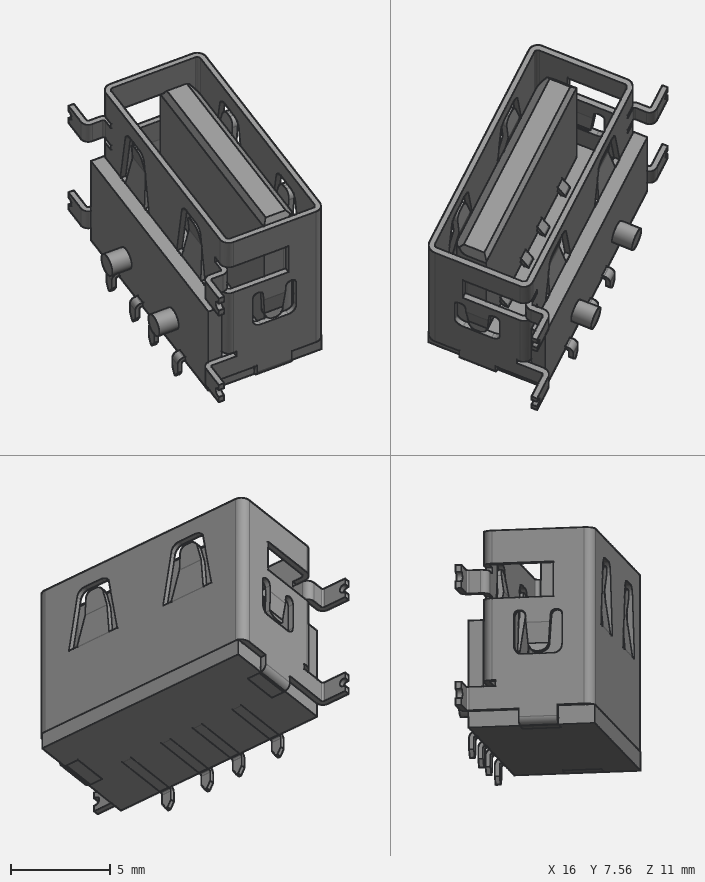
import cadquery as cq


sheet = 0.31
shell_width = 13.12
shell_back_y = 6.46
shell_front_y = 0.76
shell_top_z = 10.0
shell_corner = 0.50
bend_inner = 0.10
bend_mid = bend_inner + sheet / 2
bend_outer = bend_inner + sheet
half_width = shell_width / 2
shell_depth = shell_back_y - shell_front_y
shell_mid_y = (shell_back_y + shell_front_y) / 2

back_wall_bottom_z = 0.96
front_wall_bottom_z = 2.33

tab_y = (2.62, 4.60)
tab_reach = 1.0

foot_tip_x = 8.0
foot_underside_y = -0.345
foot_height = 1.19
foot_gap = 0.30
lower_foot_z = 1.42
side_wall_bottom_z = lower_foot_z - foot_height / 2
upper_foot_z = 7.41
foot_notch_radius = 0.24
foot_notch_depth = 0.33
lower_slot_end_y = 1.44
upper_slot_end_x = 5.53
window_end_y = 4.41

spring_xs = (-3.0, 3.0)
spring_root_z = 5.40
spring_bend_z = 7.44
spring_tip_z = 8.66
spring_root_half = 1.02
spring_tip_half = 0.49
spring_tip_round = 0.44
spring_bend_depth = 0.25
spring_tip_depth = 0.05
spring_slot_root_half = 1.54
spring_slot_top_half = 0.94
spring_slot_top_z = 9.0
spring_slot_round = 0.50

side_spring_y = 3.61
side_spring_root_z = 5.235
side_spring_bend_z = 4.165
side_spring_tip_z = 3.75
side_spring_neck_half = 0.67
side_spring_tip_half = 0.49
side_spring_tip_round = 0.45
side_spring_bend_depth = 0.11
side_spring_tip_depth = 0.0
side_slot_half = 1.236
side_slot_top_z = 5.86
side_slot_bottom_z = 3.61
side_slot_round = 0.45
side_lobe_round = 0.28

body_width = shell_width - 2 * sheet
base_top_z = 2.0
front_plate_top_z = 5.49
peg_xs = (-2.5, 2.5)
peg_z = 1.90
peg_radius = 0.59
peg_length = 1.10
tongue_width = 11.1
tongue_front_y = 3.575
tongue_back_y = 5.47
tongue_top_z = 9.47
tongue_corner = 0.82
tongue_side_chamfer = 0.30
tongue_side_chamfer_height = 0.45
tongue_front_chamfer = 0.23
tongue_front_chamfer_height = 0.36
tongue_back_chamfer = 0.53
tongue_back_chamfer_height = 0.60

contact_xs = (-3.5, -1.0, 1.0, 3.5)
contact_width = 0.58
contact_sheet = 0.25
contact_bend_mid = 0.10 + contact_sheet / 2
contact_run_top_z = 0.30
contact_tail_face_y = -0.44
contact_tip_z = -1.0
contact_taper_z = -0.62
contact_tip_half = 0.07
contact_rise_front_y = 3.14
contact_slant_top_z = 2.75
contact_slant_shift = 0.55


def box(xs, ys, zs):
    """Axis-aligned box between pairs of limits."""
    size = (xs[1] - xs[0], ys[1] - ys[0], zs[1] - zs[0])
    return cq.Workplane("XY").box(*size, centered=False).translate((xs[0], ys[0], zs[0]))


def mirrored(solid):
    """The solid together with its mirror image across x = 0."""
    return solid.union(solid.mirror("YZ"))


def bent_strip(points, thickness, width, radius, across):
    """Constant-thickness strip along a polyline with bends; `across` is its width direction."""
    path = cq.Wire.makePolygon([cq.Vector(*p) for p in points]).fillet(radius)
    start = cq.Vector(*points[0])
    direction = cq.Vector(*points[1]) - start
    plane = cq.Plane(origin=start.toTuple(), xDir=across, normal=direction.toTuple())
    return cq.Workplane(plane).rect(width, thickness).sweep(cq.Workplane(path))


def shell_tube():
    """Rectangular tube with its walls trimmed to different lengths at the rear."""
    outer = cq.Workplane("XY").rect(shell_width, shell_depth).extrude(shell_top_z)
    outer = outer.edges("|Z").fillet(shell_corner)
    inner = cq.Workplane("XY").rect(shell_width - 2 * sheet, shell_depth - 2 * sheet).extrude(shell_top_z)
    inner = inner.edges("|Z").fillet(shell_corner - sheet)
    tube = outer.cut(inner).translate((0, shell_mid_y, 0))
    full_x = (-half_width, half_width)
    tube = tube.cut(box(full_x, (0, shell_back_y), (0, bend_outer)))
    tube = tube.cut(box(full_x, (tab_y[1], shell_back_y), (0, back_wall_bottom_z)))
    tube = tube.cut(box(full_x, (0, tab_y[0]), (0, side_wall_bottom_z)))
    return tube.cut(box(full_x, (0, lower_slot_end_y), (0, front_wall_bottom_z)))


def folded_tab():
    """Tongue of the +X wall folded under the insulator."""
    wall_x = half_width - sheet / 2
    mid_y = (tab_y[0] + tab_y[1]) / 2
    points = [
        (wall_x, mid_y, back_wall_bottom_z),
        (wall_x, mid_y, sheet / 2),
        (wall_x - tab_reach, mid_y, sheet / 2),
    ]
    return bent_strip(points, sheet, tab_y[1] - tab_y[0], bend_mid, (0, 1, 0))


def foot_notch(foot_z):
    """Round-ended notch in the tip of a foot."""
    slot = cq.Workplane("XZ").center(foot_tip_x, foot_z).slot2D(2 * foot_notch_depth, 2 * foot_notch_radius)
    return slot.extrude(sheet - foot_underside_y)


def foot(start_points, foot_z):
    """Solder foot: start of the strip, then a leg toward the board and an outward plate."""
    leg_x = half_width - sheet / 2
    plate_y = foot_underside_y + sheet / 2
    points = start_points + [(leg_x, plate_y), (foot_tip_x, plate_y)]
    points = [(x, y, foot_z) for x, y in points]
    return bent_strip(points, sheet, foot_height, bend_mid, (0, 0, 1)).cut(foot_notch(foot_z))


def lower_foot():
    return foot([(half_width - sheet / 2, lower_slot_end_y)], lower_foot_z)


def upper_foot():
    wall_y = shell_front_y + sheet / 2
    return foot([(upper_slot_end_x, wall_y), (half_width - sheet / 2, wall_y)], upper_foot_z)


def upper_window():
    """Opening of the +X side from which the upper foot is bent out, with relief around it."""
    reach = foot_height / 2 + foot_gap
    zs = (upper_foot_z - reach, upper_foot_z + reach)
    front = box((upper_slot_end_x, half_width), (shell_front_y, shell_front_y + sheet), zs)
    side = box((half_width - shell_corner, half_width), (shell_front_y, window_end_y), zs)
    return front.union(side)


def spring_slot(x):
    """Tapered opening in the front wall around one spring."""
    slot = cq.Workplane("XZ", origin=(x, shell_front_y + sheet, 0)).polyline([
        (-spring_slot_root_half, spring_root_z),
        (spring_slot_root_half, spring_root_z),
        (spring_slot_top_half, spring_slot_top_z),
        (-spring_slot_top_half, spring_slot_top_z),
    ]).close().extrude(sheet)
    return slot.edges("|Y and >Z").fillet(spring_slot_round)


def spring(x):
    """Spring of the front wall: leans into the cavity, then turns back near its tip."""
    outline = cq.Workplane("XZ", origin=(x, shell_back_y, 0)).polyline([
        (-spring_root_half, spring_root_z),
        (spring_root_half, spring_root_z),
        (spring_tip_half, spring_tip_z),
        (-spring_tip_half, spring_tip_z),
    ]).close().extrude(shell_depth)
    outline = outline.edges("|Y and >Z").fillet(spring_tip_round)
    bend_y = shell_front_y + spring_bend_depth
    tip_y = shell_front_y + spring_tip_depth
    profile = cq.Workplane("YZ", origin=(x, 0, 0)).polyline([
        (shell_front_y, spring_root_z),
        (bend_y, spring_bend_z),
        (tip_y, spring_tip_z),
        (tip_y + sheet, spring_tip_z),
        (bend_y + sheet, spring_bend_z),
        (shell_front_y + sheet, spring_root_z),
    ]).close().extrude(2 * spring_root_half, both=True)
    return outline.intersect(profile)


def side_spring_outline():
    """Outline of the hanging spring, tapering to a round tip."""
    return cq.Workplane("YZ", origin=(half_width - 2 * sheet, 0, 0)).polyline([
        (side_spring_y - side_spring_neck_half, side_slot_top_z),
        (side_spring_y + side_spring_neck_half, side_slot_top_z),
        (side_spring_y + side_spring_tip_half, side_spring_tip_z),
        (side_spring_y - side_spring_tip_half, side_spring_tip_z),
    ]).close().extrude(2 * sheet).edges("|X and <Z").fillet(side_spring_tip_round)


def side_spring_slot():
    """Opening in the +X wall: two round-topped lobes joined below the flat neck of the spring."""
    slot = box(
        (half_width - sheet, half_width),
        (side_spring_y - side_slot_half, side_spring_y + side_slot_half),
        (side_slot_bottom_z, side_slot_top_z),
    )
    slot = slot.edges("|X and <Z").fillet(side_slot_round)
    above_root = box(
        (half_width - sheet, half_width),
        (side_spring_y - side_slot_half, side_spring_y + side_slot_half),
        (side_spring_root_z, side_slot_top_z),
    )
    below_root = slot.cut(above_root)
    lobes = slot.cut(side_spring_outline()).edges("|X and >Z").fillet(side_lobe_round)
    return lobes.union(below_root)


def side_spring():
    """Spring of the +X wall: hangs from its root, leans inward, then turns back out."""
    bend_x = half_width - side_spring_bend_depth
    tip_x = half_width - side_spring_tip_depth
    profile = cq.Workplane("XZ", origin=(0, side_spring_y, 0)).polyline([
        (half_width, side_spring_root_z),
        (bend_x, side_spring_bend_z),
        (tip_x, side_spring_tip_z),
        (tip_x - sheet, side_spring_tip_z),
        (bend_x - sheet, side_spring_bend_z),
        (half_width - sheet, side_spring_root_z),
    ]).close().extrude(side_slot_half, both=True)
    return side_spring_outline().intersect(profile)


def front_and_back(solid):
    """The solid together with its mirror image across the middle of the shell depth."""
    return solid.union(solid.mirror("XZ", (0, shell_mid_y, 0)))


def make_shell():
    shell = shell_tube()
    shell = shell.cut(mirrored(upper_window()))
    shell = shell.cut(mirrored(side_spring_slot()))
    for x in spring_xs:
        shell = shell.cut(front_and_back(spring_slot(x)))
    for x in spring_xs:
        shell = shell.union(front_and_back(spring(x)))
    for part in (side_spring(), folded_tab(), lower_foot(), upper_foot()):
        shell = shell.union(mirrored(part))
    return shell


def tongue():
    """Blade inside the cavity: round back corners, and a lead-in slope on each side of its top."""
    half = tongue_width / 2
    plan = box((-half, half), (tongue_front_y, tongue_back_y), (0, tongue_top_z))
    plan = plan.edges("|Z and >Y").fillet(tongue_corner)
    front_and_back_slopes = cq.Workplane("YZ").polyline([
        (tongue_front_y, 0),
        (tongue_front_y, tongue_top_z - tongue_front_chamfer_height),
        (tongue_front_y + tongue_front_chamfer, tongue_top_z),
        (tongue_back_y - tongue_back_chamfer, tongue_top_z),
        (tongue_back_y, tongue_top_z - tongue_back_chamfer_height),
        (tongue_back_y, 0),
    ]).close().extrude(half, both=True)
    side_slopes = cq.Workplane("XZ").polyline([
        (-half, 0),
        (-half, tongue_top_z - tongue_side_chamfer_height),
        (-half + tongue_side_chamfer, tongue_top_z),
        (half - tongue_side_chamfer, tongue_top_z),
        (half, tongue_top_z - tongue_side_chamfer_height),
        (half, 0),
    ]).close().extrude(-shell_back_y)
    return plan.intersect(front_and_back_slopes).intersect(side_slopes)


def make_insulator():
    half = body_width / 2
    base_back_y = shell_back_y - sheet
    body = box((-half, half), (0, base_back_y), (0, base_top_z))
    body = body.union(box((-half, half), (0, shell_back_y), (0, back_wall_bottom_z)))
    body = body.union(box((-half, half), (0, shell_front_y), (0, front_plate_top_z)))
    body = body.union(tongue())
    pegs = cq.Workplane("XZ").pushPoints([(x, peg_z) for x in peg_xs]).circle(peg_radius).extrude(peg_length)
    return body.union(pegs)


def make_contact(x):
    """Contact strip: pointed tail, run through the base, and a rise that slants into the tongue."""
    run_z = contact_run_top_z - contact_sheet / 2
    tail_y = contact_tail_face_y + contact_sheet / 2
    rise_y = contact_rise_front_y + contact_sheet / 2
    points = [
        (x, tail_y, contact_tip_z),
        (x, tail_y, run_z),
        (x, rise_y, run_z),
        (x, rise_y, base_top_z),
        (x, rise_y + contact_slant_shift, contact_slant_top_z),
    ]
    strip = bent_strip(points, contact_sheet, contact_width, contact_bend_mid, (1, 0, 0))
    half = contact_width / 2
    corner = cq.Workplane("XZ", origin=(x, 0, 0)).polyline([
        (half, contact_taper_z),
        (half, contact_tip_z),
        (contact_tip_half, contact_tip_z),
    ]).close().extrude(-contact_tail_face_y)
    corners = corner.union(corner.mirror("YZ", (x, 0, 0)))
    return strip.cut(corners)


shell = make_shell()
contacts = [make_contact(x) for x in contact_xs]
insulator = make_insulator().cut(shell)
for contact in contacts:
    insulator = insulator.cut(contact)

result = cq.Compound.makeCompound(
    [shell.val(), insulator.val()] + [contact.val() for contact in contacts]
)